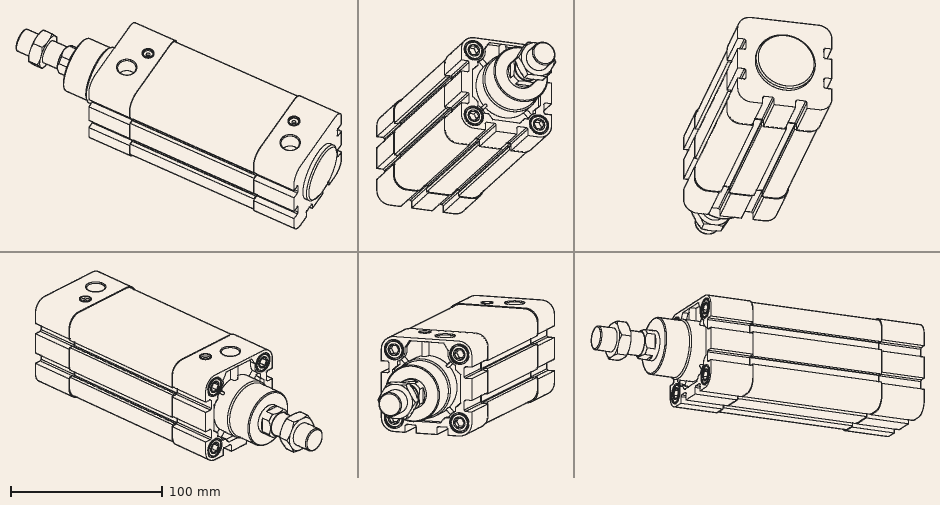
import cadquery as cq
import math


nut_start = 11.9
nut_end = 20.3
thread_end = 31.8
flats_end = 39.0
nose_start = 42.0
collar_start = 59.5
head_start = 69.0
head_length = 30.8
tube_start = head_start + head_length
total_length = 228.5
spigot_length = 3.9
rear_end = total_length - spigot_length
tube_end = rear_end - head_length

thread_diameter = 16.0
rod_diameter = 20.0
thread_chamfer = 0.7
flats_width = 17.4
shoulder_chamfer = 1.5
nut_flats_width = 22.8
nut_chamfer_length = 1.0
nut_chamfer_depth = 1.5

head_width = 64.0
tube_inset = 0.57
corner_radius = 9.1
nose_diameter = 38.2
collar_diameter = 40.2
nose_chamfer = 0.7
spigot_chamfer = 1.1

slot_offset = 11.2
slot_width = 7.8
slot_depth = 5.5
slot_corner = 1.0
tube_slot_depth = 4.3
lip_gap = 5.5
lip_thickness = 2.7

recess_depth = 3.9
recess_wall = 24.0
recess_wall_half = 9.5
recess_step = 20.3
recess_step_half = 12.8
recess_top = 30.0
recess_top_half = 12.0
recess_top_drop = 4.5
recess_top_spread = 3.0
boss_diameter = 16.0
post_width = 4.0
post_offset = 1.8
rib_width = 1.9

screw_offset = 23.0
screw_seat = 13.5
screw_head = 11.5
screw_seat_depth = 1.1
screw_dish = 8.0
screw_dish_depth = 0.2
socket_flats_width = 6.0
socket_depth = 4.5

port_centres = [(84.0, -7.5), (209.0, -9.5)]
port_mouth = 13.5
port_bore = 12.0
port_depth = 11.5
needle_centres = [(90.7, 9.4), (202.5, 7.3)]
needle_rim = 8.0
needle_rim_height = 0.2
needle_bore = 6.6
needle_depth = 1.1
needle_socket = 2.5
needle_socket_depth = 2.3


def yz_plane(x):
    """Workplane across the cylinder axis: local x is Y, local y is Z."""
    return cq.Workplane("YZ", origin=(x, 0, 0))


def rod_shape(diameter, start, end):
    """Round bar on the X axis."""
    return yz_plane(start).circle(diameter / 2).extrude(end - start)


def block(start, end, width):
    """Square block with rounded edges along X."""
    box = yz_plane(start).rect(width, width).extrude(end - start)
    return box.edges("|X").fillet(corner_radius)


def hexagon_corner_diameter(flats):
    return flats / math.cos(math.radians(30))


def make_nut():
    """Hexagon with two corners in the +Y and -Y directions, both ends turned to a cone."""
    length = nut_end - nut_start
    corner_diameter = hexagon_corner_diameter(nut_flats_width)
    hexagon = yz_plane(nut_start).polygon(6, corner_diameter).extrude(length)
    envelope = rod_shape(corner_diameter, nut_start, nut_end)
    envelope = envelope.faces("<X").chamfer(nut_chamfer_length, nut_chamfer_depth)
    envelope = envelope.faces(">X").chamfer(nut_chamfer_length, nut_chamfer_depth)
    return hexagon.intersect(envelope)


def make_rod():
    """Threaded rod with wrench flats, carrying the nut."""
    thread = rod_shape(thread_diameter, 0, thread_end).faces("<X").chamfer(thread_chamfer)
    rod = rod_shape(rod_diameter, thread_end, tube_start).faces("<X").chamfer(shoulder_chamfer)
    flats_length = flats_end - thread_end
    flats_stock = yz_plane(thread_end).rect(rod_diameter, rod_diameter).extrude(flats_length)
    square = yz_plane(thread_end).rect(flats_width, flats_width).extrude(flats_length)
    flats = flats_stock.cut(square)
    return rod.cut(flats).union(thread).union(make_nut())


def slots(width, slot):
    """Copies of a slot in the two sides and the bottom. The slot enters its face in the +Y direction."""
    cutters = cq.Workplane()
    for angle in (0, 90, 180):
        for offset in (-slot_offset, slot_offset):
            cutter = slot.translate((0, -width / 2, offset))
            cutters = cutters.add(cutter.rotate((0, 0, 0), (1, 0, 0), angle).val())
    return cutters.combine()


def slot_chamber(start, end, top, floor):
    """Groove between two depths, its floor corners chamfered."""
    chamber = yz_plane(start).center((top + floor) / 2, 0).rect(floor - top, slot_width)
    return chamber.extrude(end - start).faces(">Y").edges("|X").chamfer(slot_corner)


def make_end_block(start, end):
    slot = slot_chamber(start, end, 0, slot_depth)
    return block(start, end, head_width).cut(slots(head_width, slot))


def make_tube():
    """Profile tube, set in from the end blocks, its slots narrowed by lips."""
    width = head_width - 2 * tube_inset
    mouth = yz_plane(tube_start).rect(2 * tube_slot_depth, lip_gap).extrude(tube_end - tube_start)
    slot = slot_chamber(tube_start, tube_end, lip_thickness, tube_slot_depth).union(mouth)
    return block(tube_start, tube_end, width).cut(slots(width, slot))


def corner_points():
    return [(y, z) for y in (-screw_offset, screw_offset) for z in (-screw_offset, screw_offset)]


def half_round_rib(width, outer_end, angle):
    """Rib from the axis outward on the recess floor, its crest rounded and touching the front face."""
    radius = width / 2
    rib = (
        cq.Workplane("XY", origin=(head_start, 0, 0))
        .moveTo(recess_depth, -radius)
        .lineTo(radius, -radius)
        .threePointArc((0, 0), (radius, radius))
        .lineTo(recess_depth, radius)
        .close()
        .extrude(outer_end)
    )
    return rib.rotate((0, 0, 0), (1, 0, 0), angle)


def make_recess():
    """Pocket around the collar, leaving round bosses about the screws, a post and four ribs."""
    right_side = [
        (recess_wall_half, -recess_wall),
        (recess_step_half, -recess_step),
        (recess_step, -recess_step),
        (recess_step, -recess_step_half),
        (recess_wall, -recess_wall_half),
        (recess_wall, recess_wall_half),
        (recess_step, recess_step_half),
        (recess_step, recess_step),
        (recess_top_half + recess_top_spread, recess_top - recess_top_drop),
        (recess_top_half, recess_top),
    ]
    left_side = [(-y, z) for y, z in reversed(right_side)]
    pocket = yz_plane(head_start).polyline(right_side + left_side).close().extrude(recess_depth)
    bosses = yz_plane(head_start).pushPoints(corner_points()).circle(boss_diameter / 2).extrude(recess_depth)
    post = half_round_rib(post_width, recess_top, 0).translate((0, post_offset, 0))
    recess = pocket.cut(bosses).cut(post)
    rib_end = math.sqrt(2) * screw_offset - boss_diameter / 2
    for angle in (45, 135, 225, 315):
        recess = recess.cut(half_round_rib(rib_width, rib_end, angle))
    return recess


def make_screw_recesses():
    """A ring groove about each screw head, and a shallow dish with a hexagon socket in the head."""
    seat = yz_plane(head_start).pushPoints(corner_points())
    groove = seat.circle(screw_seat / 2).extrude(screw_seat_depth)
    groove = groove.cut(seat.circle(screw_head / 2).extrude(screw_seat_depth))
    dish = seat.circle(screw_dish / 2).extrude(screw_dish_depth)
    socket = seat.polygon(6, hexagon_corner_diameter(socket_flats_width)).extrude(socket_depth)
    return groove.union(dish).union(socket)


def make_head():
    head = make_end_block(head_start, tube_start)
    return head.cut(make_recess()).cut(make_screw_recesses())


def make_nose():
    """Guide nose and the wider collar behind it, the step between them conical."""
    nose = rod_shape(nose_diameter, nose_start, collar_start).faces("<X").chamfer(nose_chamfer)
    collar = rod_shape(collar_diameter, collar_start, tube_start)
    collar = collar.faces("<X").chamfer((collar_diameter - nose_diameter) / 2)
    return nose.union(collar)


def make_spigot():
    """Rear centring spigot."""
    return rod_shape(collar_diameter, tube_end, total_length).faces(">X").chamfer(spigot_chamfer)


def drill(diameter, centre, depth, top):
    """Round cutter going down from a height."""
    return cq.Workplane("XY", origin=(*centre, top)).circle(diameter / 2).extrude(-depth)


def make_port(centre):
    """Blind hole with a chamfered mouth in the top face."""
    top = head_width / 2
    chamfer = (port_mouth - port_bore) / 2
    mouth = cq.Solid.makeCone(
        port_bore / 2, port_mouth / 2, chamfer, pnt=cq.Vector(*centre, top - chamfer)
    )
    return drill(port_bore, centre, port_depth, top).union(cq.Workplane(mouth))


def add_needle(housing, centre):
    """Low rim on the top face about the sunk head of a cushion screw."""
    face = head_width / 2
    rim_top = face + needle_rim_height
    housing = housing.union(drill(needle_rim, centre, needle_rim_height, rim_top))
    housing = housing.cut(drill(needle_bore, centre, needle_rim_height + needle_depth, rim_top))
    return housing.cut(drill(needle_socket, centre, needle_depth + needle_socket_depth, face))


def make_housing():
    rear = make_end_block(tube_end, rear_end)
    housing = make_head().union(make_tube()).union(rear).union(make_spigot()).union(make_nose())
    for centre in port_centres:
        housing = housing.cut(make_port(centre))
    for centre in needle_centres:
        housing = add_needle(housing, centre)
    return housing.cut(rod_shape(rod_diameter, nose_start, tube_start))


rod = make_rod()
housing = make_housing()
result = cq.Compound.makeCompound([rod.solids().val(), housing.solids().val()])